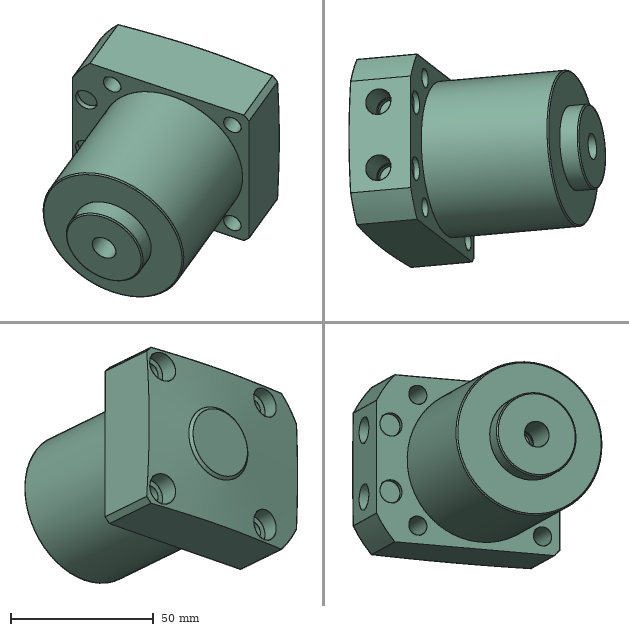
import cadquery as cq
import math

total_length = 81.0
barrel_length = 47.0
rod_length = 7.0
head_length = total_length - barrel_length - rod_length

head_height = 60.0
head_right = head_height / 2
head_left = -39.05
left_corner_radius = 44.0
right_corner_chamfer = 2.0

button_radius = 12.5
button_chamfer = 1.05
cone_angle = 7.0

barrel_diameter = 55.0
rod_diameter = 30.0
edge_chamfer = 0.5
rod_thread_depth = 15.0

bolt_offset = 23.5
bolt_diameter = 6.8
bolt_head_diameter = 11.0
bolt_seat_y = 17.0

thread_diameter = 9.2
core_diameter = 8.35
core_extension = 2.0

port_y = 12.0
port_z = 12.0
port_thread_depth = 12.0
recess_x = -33.6
recess_diameter = 8.3
recess_depth = 1.95


def cylinder(base, direction, diameter, length):
    """Solid cylinder from a base point along a direction."""
    solid = cq.Solid.makeCylinder(diameter / 2, length, cq.Vector(*base), cq.Vector(*direction))
    return cq.Workplane(obj=solid)


def threaded_hole(base, direction, thread_depth):
    """Cutter for a blind threaded hole with a narrower core below the thread."""
    core = cylinder(base, direction, core_diameter, thread_depth + core_extension)
    return cylinder(base, direction, thread_diameter, thread_depth).union(core)


def head_block():
    """Prism with arc corners on the left and chamfers on the right."""
    top = head_height / 2
    arc_x = -math.sqrt(left_corner_radius**2 - top**2)
    flat_z = math.sqrt(left_corner_radius**2 - head_left**2)
    mid_angle = (math.atan2(top, arc_x) + math.atan2(flat_z, head_left)) / 2
    mid_x = left_corner_radius * math.cos(mid_angle)
    mid_z = left_corner_radius * math.sin(mid_angle)
    chamfer_x = head_right - right_corner_chamfer
    chamfer_z = top - right_corner_chamfer
    return (
        cq.Workplane("XZ")
        .moveTo(chamfer_x, top)
        .lineTo(arc_x, top)
        .threePointArc((mid_x, mid_z), (head_left, flat_z))
        .lineTo(head_left, -flat_z)
        .threePointArc((mid_x, -mid_z), (arc_x, -top))
        .lineTo(chamfer_x, -top)
        .lineTo(head_right, -chamfer_z)
        .lineTo(head_right, chamfer_z)
        .close()
        .extrude(-head_length)
    )


def rear_envelope():
    """Turned solid that shapes the rear of the head."""
    outer_radius = left_corner_radius + 0.8
    button_base_radius = button_radius + button_chamfer
    button_base_y = head_length - button_chamfer
    rim_y = button_base_y - (outer_radius - button_base_radius) * math.tan(math.radians(cone_angle))
    return (
        cq.Workplane("XY")
        .moveTo(0, 0)
        .lineTo(outer_radius, 0)
        .lineTo(outer_radius, rim_y)
        .lineTo(button_base_radius, button_base_y)
        .lineTo(button_radius, head_length)
        .lineTo(0, head_length)
        .close()
        .revolve(360, (0, 0, 0), (0, 1, 0))
    )


def front_cylinder(diameter, length):
    """Cylinder reaching from the mounting face to -Y, chamfered at its free end."""
    return cylinder((0, 0, 0), (0, -1, 0), diameter, length).faces("<Y").chamfer(edge_chamfer)


result = head_block().intersect(rear_envelope())
result = result.union(front_cylinder(barrel_diameter, barrel_length))
result = result.union(front_cylinder(rod_diameter, barrel_length + rod_length))

for x in (-bolt_offset, bolt_offset):
    for z in (-bolt_offset, bolt_offset):
        result = result.cut(cylinder((x, 0, z), (0, 1, 0), bolt_diameter, head_length))
        result = result.cut(cylinder((x, bolt_seat_y, z), (0, 1, 0), bolt_head_diameter, head_length))

for z in (-port_z, port_z):
    result = result.cut(threaded_hole((head_left, port_y, z), (1, 0, 0), port_thread_depth))
    result = result.cut(cylinder((recess_x, 0, z), (0, 1, 0), recess_diameter, recess_depth))

rod_end_y = -barrel_length - rod_length
result = result.cut(threaded_hole((0, rod_end_y, 0), (0, 1, 0), rod_thread_depth))